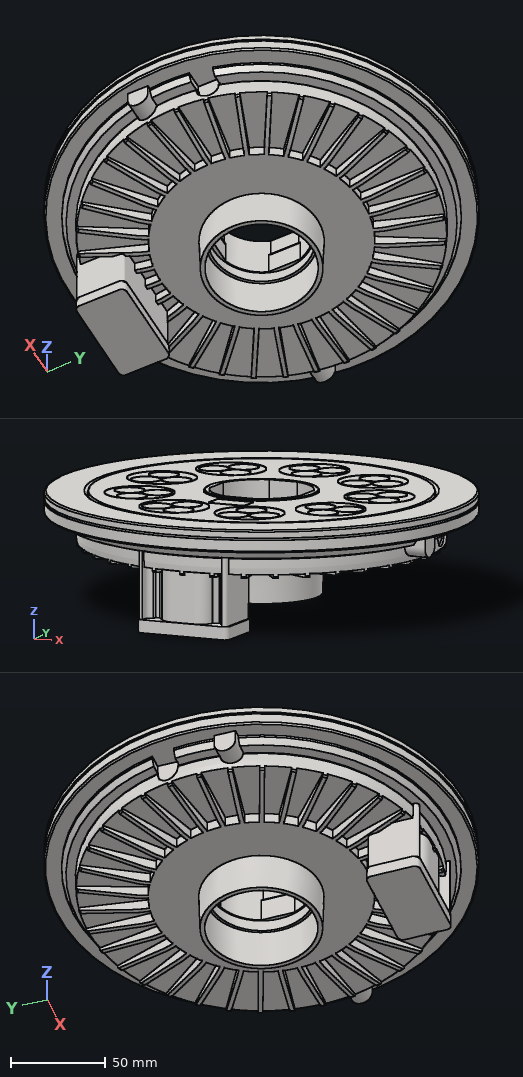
import cadquery as cq


rim_radius = 115.5
rim_bottom = -12.2
rim_chamfer = 1.0
rim_groove_z = -4.9
rim_groove_width = 1.2
rim_groove_depth = 0.2
seat_radius = 106.0
seat_bevel_z = -13.6
seat_bottom = -17.3
seat_bevel_width = 2.3
neck_radius = 97.7
body_top = -18.7
body_radius = 98.6
body_draft_z = -23.8
body_draft = 0.5
body_bottom = -27.3

bezel_radius = 94.2
bezel_inner_radius = 185.3 / 2
plate_radius = 184.0 / 2
seam_depth = 2.3

fin_count = 36
fin_width = 2.5
fin_core_radius = 60.0
fin_slope_radius = 66.0
fin_bottom = -33.3
fin_tip_bottom = -29.3
fin_tip_chamfer = 1.0
fin_overlap = 2.3

collar_rise = 0.7
collar_radius = 60.3 / 2
collar_gap_radius = 61.5 / 2
collar_gap_depth = 1.2
opening_flats = 52.5
opening_mouth_flats = 53.1
opening_mouth_bottom = -10.9
opening_diameter = 55.7
opening_bottom = -25.0
middle_bore_diameter = 57.0
middle_bore_bottom = -31.9
lower_bore_diameter = 60.0
sleeve_top_radius = 33.3
sleeve_bottom_radius = 32.5
sleeve_bottom = -55.2

lens_count = 9
lens_circle_radius = 65.0
lens_diameter = 37.5
emitter_count = 3
emitter_diameter = 16.2
emitter_circle_radius = 9.5
lens_recess = 0.2
emitter_recess = 0.5

badge_length = 21.3
badge_width = 12.0
badge_y = -37.7
badge_corner = 1.2
badge_recess = 0.2

tab_reach = 107.6
tab_offset = 18.0
tab_radius = 6.0
tab_center_z = -18.5
tab_inner_x = 92.5
socket_inner_x = 94.7
socket_center_z = -19.5
socket_slot_width = 13.0

base_length = 53.8
base_front = -98.2
base_back = -68.1
base_top = -55.2
box_bottom = -62.4
wall_margin = 0.8
wall_thickness = 2.8
base_corner = 3.2
wall_corner = 2.0
recess_back = -91.7
deep_recess_back = -88.7
deep_recess_length = 39.7
recess_corner = 3.2
nose_width = 30.0
nose_front = -97.3
nose_corner = 8.3
nose_foot_width = 35.0
nose_foot_front = -91.5


def disc(radius, bottom, top):
    return cq.Workplane("XY").workplane(offset=bottom).circle(radius).extrude(top - bottom)


def ring(outer_radius, inner_radius, bottom, top):
    return disc(outer_radius, bottom, top).cut(disc(inner_radius, bottom, top))


def revolve_outline(points):
    """Revolve a closed (radius, Z) outline about the Z axis."""
    return cq.Workplane("XZ").polyline(points).close().revolve(360, (0, 0, 0), (0, 1, 0))


def block(length, front, back, bottom, top):
    """Box centred on X, running from front to back in Y."""
    return (
        cq.Workplane("XY")
        .workplane(offset=bottom)
        .center(0, (front + back) / 2)
        .rect(length, back - front)
        .extrude(top - bottom)
    )


def make_body():
    groove_top = rim_groove_z + rim_groove_width / 2
    groove_bottom = rim_groove_z - rim_groove_width / 2
    groove_radius = rim_radius - rim_groove_depth
    return revolve_outline([
        (0, 0),
        (rim_radius - rim_chamfer, 0),
        (rim_radius, -rim_chamfer),
        (rim_radius, groove_top),
        (groove_radius, groove_top),
        (groove_radius, groove_bottom),
        (rim_radius, groove_bottom),
        (rim_radius, rim_bottom + rim_chamfer),
        (rim_radius - rim_chamfer, rim_bottom),
        (seat_radius, rim_bottom),
        (seat_radius, seat_bevel_z),
        (seat_radius - seat_bevel_width, seat_bottom),
        (neck_radius, seat_bottom),
        (neck_radius, body_top),
        (body_radius, body_top),
        (body_radius, body_draft_z),
        (body_radius - body_draft, body_bottom),
        (fin_core_radius, body_bottom),
        (fin_core_radius, fin_bottom),
        (sleeve_top_radius, fin_bottom),
        (sleeve_bottom_radius, sleeve_bottom),
        (0, sleeve_bottom),
    ])


def make_fins():
    root_radius = fin_core_radius - fin_overlap
    root_z = body_bottom + fin_overlap
    tip_radius = body_radius - body_draft
    fin = (
        cq.Workplane("XZ")
        .polyline([
            (root_radius, root_z),
            (tip_radius, root_z),
            (tip_radius, fin_tip_bottom + fin_tip_chamfer),
            (tip_radius - fin_tip_chamfer, fin_tip_bottom),
            (fin_slope_radius, fin_bottom),
            (root_radius, fin_bottom),
        ])
        .close()
        .extrude(fin_width / 2, both=True)
    )
    fins = cq.Workplane("XY")
    for i in range(fin_count):
        fins.add(fin.rotate((0, 0, 0), (0, 0, 1), i * 360 / fin_count))
    return fins.combine()


def make_seam():
    """Gap around the lens plate, with a 45 degree bevel on its outer edge."""
    return revolve_outline([
        (bezel_radius, 0),
        (bezel_inner_radius, bezel_inner_radius - bezel_radius),
        (bezel_inner_radius, -seam_depth),
        (plate_radius, -seam_depth),
        (plate_radius, 0),
    ])


def make_lens_recesses():
    """Shallow lens recesses, each with three deeper emitters, one of them towards the centre."""
    lens = disc(lens_diameter / 2, -lens_recess, 0)
    emitters = (
        cq.Workplane("XY")
        .workplane(offset=-emitter_recess)
        .polarArray(emitter_circle_radius, 180, 360, emitter_count)
        .circle(emitter_diameter / 2)
        .extrude(emitter_recess)
    )
    group = lens.union(emitters).translate((lens_circle_radius, 0, 0))
    groups = cq.Workplane("XY")
    for i in range(lens_count):
        groups.add(group.rotate((0, 0, 0), (0, 0, 1), 90 + i * 360 / lens_count))
    return groups.combine()


def make_badge_recess():
    front = badge_y - badge_width / 2
    back = badge_y + badge_width / 2
    return block(badge_length, front, back, -badge_recess, 0).edges("|Z").fillet(badge_corner)


def flatted_disc(flats, bottom, top):
    """Disc with four flats, `flats` apart."""
    square = block(flats, -flats / 2, flats / 2, bottom, top)
    return disc(opening_diameter / 2, bottom, top).intersect(square)


def make_opening():
    """Square opening with round corners and a wider mouth, widening in two round steps below."""
    opening = flatted_disc(opening_flats, opening_bottom, opening_mouth_bottom)
    mouth = flatted_disc(opening_mouth_flats, opening_mouth_bottom, collar_rise)
    middle_bore = disc(middle_bore_diameter / 2, middle_bore_bottom, opening_bottom)
    lower_bore = disc(lower_bore_diameter / 2, sleeve_bottom, middle_bore_bottom)
    return opening.union(mouth).union(middle_bore).union(lower_bore)


def round_ended_bar(y, center_z, inner_x, outer_x):
    """Bar along X that hangs from the rim and has a round lower end."""
    return (
        cq.Workplane("YZ")
        .workplane(offset=inner_x)
        .moveTo(y - tab_radius, rim_bottom)
        .lineTo(y - tab_radius, center_z)
        .threePointArc((y, center_z - tab_radius), (y + tab_radius, center_z))
        .lineTo(y + tab_radius, rim_bottom)
        .close()
        .extrude(outer_x - inner_x)
    )


def make_tab():
    """Tab on the +X side."""
    return round_ended_bar(-tab_offset, tab_center_z, tab_inner_x, tab_reach)


def make_socket():
    """Round-ended pocket in the body, with a slightly wider slot through the seat above it."""
    pocket = round_ended_bar(tab_offset, socket_center_z, socket_inner_x, seat_radius)
    slot = (
        cq.Workplane("YZ")
        .workplane(offset=socket_inner_x)
        .center(tab_offset, (rim_bottom + seat_bottom) / 2)
        .rect(socket_slot_width, rim_bottom - seat_bottom)
        .extrude(seat_radius - socket_inner_x)
    )
    return pocket.union(slot)


def make_connector_box():
    """Box open to -Y: a base plate, side walls and a rounded nose between the walls."""
    base = block(base_length, base_front, base_back, box_bottom, base_top)
    base = base.edges("|Z").fillet(base_corner)

    wall_length = base_length - 2 * wall_margin
    wall_front = base_front + wall_margin / 2
    walls = block(wall_length, wall_front, base_back - wall_margin, base_top, seat_bottom)
    walls = walls.edges("|Z").fillet(wall_corner)

    inner_length = wall_length - 2 * wall_thickness
    recess = block(inner_length, base_front, recess_back, base_top, seat_bottom)
    recess = recess.edges("|Z and >Y").fillet(recess_corner)
    deep_recess = block(deep_recess_length, recess_back, deep_recess_back, base_top, seat_bottom)
    recess = recess.union(deep_recess)

    nose = block(nose_width, nose_front, deep_recess_back, base_top, seat_bottom)
    nose = nose.edges("|Z and <Y").fillet(nose_corner)
    nose_foot = (
        cq.Workplane("XY")
        .workplane(offset=base_top)
        .polyline([
            (-nose_width / 2, nose_foot_front),
            (nose_width / 2, nose_foot_front),
            (nose_foot_width / 2, deep_recess_back),
            (-nose_foot_width / 2, deep_recess_back),
        ])
        .close()
        .extrude(seat_bottom - base_top)
    )
    return walls.cut(recess).union(nose).union(nose_foot).union(base)


result = make_body().union(make_fins()).union(make_connector_box())
result = result.union(make_tab()).union(make_tab().mirror("YZ"))
result = result.cut(make_socket()).cut(make_socket().mirror("YZ"))
result = result.union(disc(collar_radius, -collar_gap_depth, collar_rise))
result = result.cut(ring(collar_gap_radius, collar_radius, -collar_gap_depth, 0))
result = result.cut(make_seam())
result = result.cut(make_lens_recesses())
result = result.cut(make_badge_recess())
result = result.cut(make_opening())